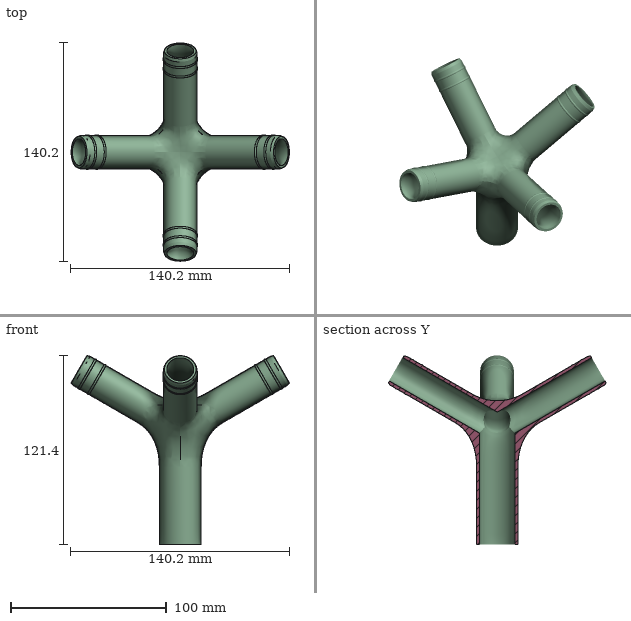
import cadquery as cq
import math

overall_width = 140.2
branch_count = 4
branch_rise = math.radians(30.0)
stem_length = 50.0
blend_setback = stem_length / 2
hub_height = stem_length + blend_setback
branch_length = hub_height

stem_radius = 13.5
branch_radius = 10.8
branch_bore_radius = 8.5
wall = branch_radius - branch_bore_radius
stem_bore_radius = stem_radius - wall

tip_taper_length = 2.0
tip_radius = (overall_width / 2 - branch_length * math.cos(branch_rise)) / math.sin(branch_rise)

first_ring_offset = 6.2
ring_pitch = 7.0
ring_offsets = (first_ring_offset, first_ring_offset + ring_pitch)
ring_height = 0.3
ring_half_width = 0.7

tube_guide_inset = 2.1
tube_guide_setback = blend_setback - tube_guide_inset
bend_guide_roll = math.radians(15.0)

hub_center = cq.Vector(0, 0, hub_height)


def branch_direction(index):
    """Unit vector along a branch, away from the hub centre."""
    turn = 2 * math.pi * index / branch_count
    reach = math.cos(branch_rise)
    return cq.Vector(reach * math.cos(turn), reach * math.sin(turn), math.sin(branch_rise))


def make_branch():
    """Solid branch along +Z, from the hub rim outward, with tapered tip and grip rings."""
    profile = cq.Workplane("XZ").moveTo(0, blend_setback).lineTo(branch_radius, blend_setback)
    for offset in reversed(ring_offsets):
        ring_center = branch_length - offset
        profile = profile.lineTo(branch_radius, ring_center - ring_half_width).threePointArc(
            (branch_radius + ring_height, ring_center),
            (branch_radius, ring_center + ring_half_width),
        )
    profile = (
        profile.lineTo(branch_radius, branch_length - tip_taper_length)
        .lineTo(tip_radius, branch_length)
        .lineTo(0, branch_length)
        .close()
    )
    return profile.revolve(360, (0, 0, 0), (0, 1, 0))


def place_branch(body, index):
    """Tilt a body from +Z to the branch slope, then turn it around the stem."""
    tilt = 90 - math.degrees(branch_rise)
    turn = 360 * index / branch_count
    return (
        body.rotate((0, 0, 0), (0, 1, 0), tilt)
        .rotate((0, 0, 0), (0, 0, 1), turn)
        .translate(hub_center)
    )


def bend_point(start, end, fraction, roll=0.0):
    """Point on the round bend joining two tubes, inside its turn; roll goes around the bend's section."""
    start_direction, start_radius = start
    end_direction, end_radius = end
    half_angle = start_direction.getAngle(end_direction) / 2
    bisector = (start_direction + end_direction).normalized()
    across = (end_direction - start_direction).normalized()
    bend_radius = blend_setback * math.tan(half_angle)
    arc_center = hub_center + bisector * (blend_setback / math.cos(half_angle))
    angle = (math.pi / 2 - half_angle) * (2 * fraction - 1)
    outward = across * math.sin(angle) - bisector * math.cos(angle)
    side = across.cross(bisector)
    radius = start_radius + (end_radius - start_radius) * fraction
    return arc_center + outward * (bend_radius - radius * math.cos(roll)) + side * (radius * math.sin(roll))


def bend_edge(start, end, last_fraction=1.0):
    """Valley line of a bend, tangent to its tubes; a half fraction stops at the middle of a level bend."""
    points = [bend_point(start, end, fraction * last_fraction) for fraction in (0, 0.5, 1)]
    last_tangent = end[0] if last_fraction == 1 else end[0] - start[0]
    return cq.Edge.makeSpline(points, tangents=[start[0] * -1, last_tangent.normalized()])


def rim_point(tube, first_point, second_point, setback):
    """Point on a tube, midway around between two points of its rim."""
    direction, radius = tube
    rim_center = hub_center + direction * blend_setback
    middle = ((first_point + second_point) * 0.5 - rim_center).normalized()
    return hub_center + direction * setback + middle * radius


def rim_edge(tube, first_point, second_point):
    """Arc of a tube's rim where the hub surface begins."""
    middle = rim_point(tube, first_point, second_point, blend_setback)
    return cq.Edge.makeThreePointArc(first_point, middle, second_point)


stem = (cq.Vector(0, 0, -1), stem_radius)
branches = [(branch_direction(index), branch_radius) for index in range(branch_count)]


def lower_patch(left, right):
    """Hub surface between the stem and two neighbouring branches."""
    edges = [bend_edge(stem, left), bend_edge(stem, right), bend_edge(left, right)]
    rims = [
        (stem, bend_point(stem, left, 0), bend_point(stem, right, 0)),
        (left, bend_point(stem, left, 1), bend_point(left, right, 0)),
        (right, bend_point(stem, right, 1), bend_point(left, right, 1)),
    ]
    edges += [rim_edge(*rim) for rim in rims]
    guides = [rim_point(*rim, tube_guide_setback) for rim in rims]
    guides.append(bend_point(left, right, 0.5, bend_guide_roll))
    guides.append(bend_point(stem, left, 0.5, bend_guide_roll))
    guides.append(bend_point(stem, right, 0.5, -bend_guide_roll))
    return cq.Face.makeNSidedSurface(edges, guides)


def upper_patch(left, right, far_left, far_right):
    """Quarter of the hub top, between two neighbouring branches."""
    edges = [bend_edge(left, far_left, 0.5), bend_edge(right, far_right, 0.5), bend_edge(left, right)]
    rims = [
        (left, bend_point(left, far_left, 0), bend_point(left, right, 0)),
        (right, bend_point(right, far_right, 0), bend_point(left, right, 1)),
    ]
    edges += [rim_edge(*rim) for rim in rims]
    guides = [rim_point(*rim, tube_guide_setback) for rim in rims]
    guides.append(bend_point(left, right, 0.5, -bend_guide_roll))
    return cq.Face.makeNSidedSurface(edges, guides)


def make_hub():
    """Solid blend of all five tubes, closed by a flat disc at each tube."""
    faces = []
    for index in range(branch_count):
        around = [branches[(index + step) % branch_count] for step in range(branch_count)]
        faces.append(lower_patch(around[0], around[1]))
        faces.append(upper_patch(*around))
    for direction, radius in [stem] + branches:
        rim = cq.Wire.makeCircle(radius, hub_center + direction * blend_setback, direction)
        faces.append(cq.Face.makeFromWires(rim))
    return cq.Workplane(cq.Solid.makeSolid(cq.Shell.makeShell(faces)))


stem_body = cq.Workplane("XY").circle(stem_radius).extrude(stem_length)
branch = make_branch()
result = make_hub().union(stem_body)
for index in range(branch_count):
    result = result.union(place_branch(branch, index))

stem_bore = cq.Workplane("XY").circle(stem_bore_radius).extrude(hub_height)
branch_bore = cq.Workplane("XY").circle(branch_bore_radius).extrude(branch_length)
result = result.cut(stem_bore)
for index in range(branch_count):
    result = result.cut(place_branch(branch_bore, index))